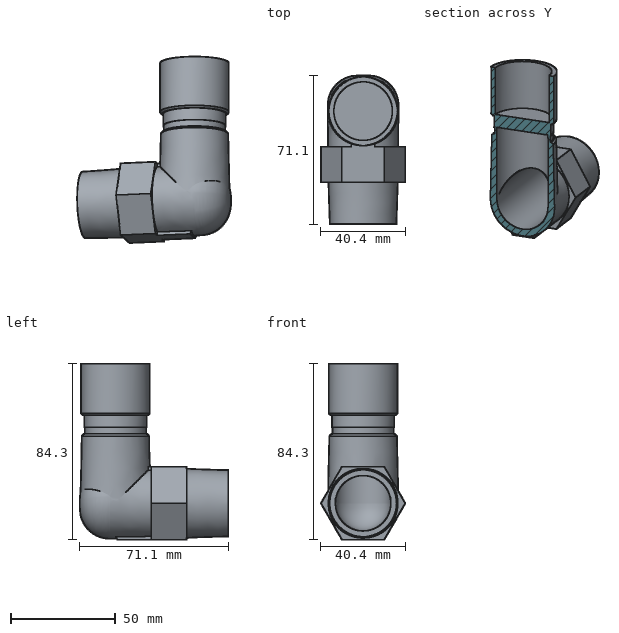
import cadquery as cq
import math

elbow_end_y = 17.06
elbow_radius = 17.0
dome_start_y = 2.6
dome_radius = elbow_end_y - dome_start_y
dome_flat_radius = elbow_radius - dome_radius
bore_radius = 26.5 / 2

hex_flats = 35.0
hex_back_y = -17.0
hex_front_y = -34.0
horizontal_radius_at_hex = 16.8
hex_corners = hex_flats / math.cos(math.radians(30))

male_root_radius = 16.63
male_tip_radius = 15.97
male_tip_y = -54.0

rib_width = 11.2
rib_root_y = -0.1
rib_tip_y = -1.0
rib_slope_depth = 1.5

branch_base_radius = 16.96
branch_top_radius = 16.2
chamfer = 1.0
branch_top_z = 33.15
lower_neck_radius = 29.5 / 2
upper_neck_radius = 30.0 / 2
neck_step_z = 36.25
collar_radius = 33.0 / 2
collar_bottom_z = 41.95
overall_height = 84.25
top_z = overall_height - hex_flats / 2

socket_radius = 28.0 / 2
socket_floor_z = collar_bottom_z + chamfer


def make_horizontal_tube():
    """Tapered tube along Y with a rounded closed end and a tapered male end."""
    arc_middle = dome_radius * math.cos(math.radians(45))
    return (
        cq.Workplane("XY")
        .moveTo(0, elbow_end_y)
        .lineTo(dome_flat_radius, elbow_end_y)
        .threePointArc(
            (dome_flat_radius + arc_middle, dome_start_y + arc_middle),
            (elbow_radius, dome_start_y),
        )
        .lineTo(horizontal_radius_at_hex, hex_back_y)
        .lineTo(male_root_radius, hex_front_y)
        .lineTo(male_tip_radius, male_tip_y)
        .lineTo(0, male_tip_y)
        .close()
        .revolve(360, (0, 0, 0), (0, 1, 0))
    )


def make_vertical_branch():
    """Tapered branch, stepped neck and socket collar turned about Z."""
    profile = [
        (0, 0),
        (branch_base_radius, 0),
        (branch_top_radius, branch_top_z - chamfer),
        (branch_top_radius - chamfer, branch_top_z),
        (lower_neck_radius, branch_top_z),
        (lower_neck_radius, neck_step_z),
        (upper_neck_radius, neck_step_z),
        (upper_neck_radius, collar_bottom_z),
        (collar_radius - chamfer, collar_bottom_z),
        (collar_radius, collar_bottom_z + chamfer),
        (collar_radius, top_z),
        (0, top_z),
    ]
    return cq.Workplane("XZ").polyline(profile).close().revolve(360, (0, 0, 0), (0, 1, 0))


def make_hexagon():
    return (
        cq.Workplane("XZ", origin=(0, hex_back_y, 0))
        .polygon(6, hex_corners)
        .extrude(hex_back_y - hex_front_y)
    )


def make_ribs():
    """Upper and lower ribs in one plate, with sloped ends, level with the hexagon flats."""
    half_height = hex_flats / 2
    slope_z = half_height - rib_slope_depth
    profile = [
        (hex_back_y, -half_height),
        (rib_tip_y, -half_height),
        (rib_root_y, -slope_z),
        (rib_root_y, slope_z),
        (rib_tip_y, half_height),
        (hex_back_y, half_height),
    ]
    return cq.Workplane("YZ").polyline(profile).close().extrude(rib_width / 2, both=True)


def make_elbow_bore():
    """Passage from the male end, round the corner and up to the neck step."""
    along_y = cq.Workplane("XZ").circle(bore_radius).extrude(-male_tip_y)
    along_z = cq.Workplane("XY").circle(bore_radius).extrude(neck_step_z)
    corner = cq.Workplane("XY").sphere(bore_radius)
    return along_y.union(along_z).union(corner)


def make_socket():
    return (
        cq.Workplane("XY", origin=(0, 0, socket_floor_z))
        .circle(socket_radius)
        .extrude(top_z - socket_floor_z)
    )


body = make_horizontal_tube().union(make_vertical_branch())
body = body.union(make_hexagon()).union(make_ribs())
result = body.cut(make_elbow_bore()).cut(make_socket())